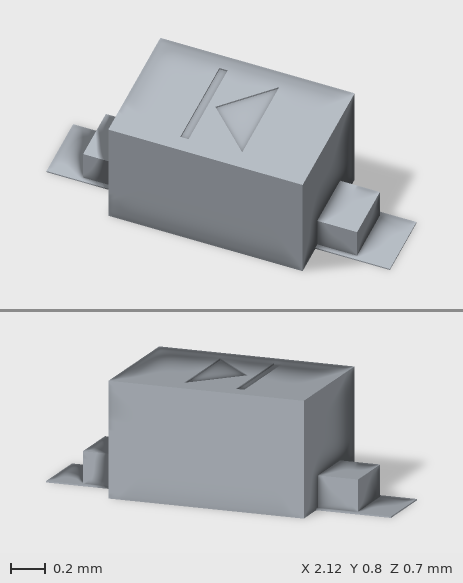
import cadquery as cq

body_length = 1.2
body_width = 0.8
body_height = 0.7

terminal_span = 1.692
terminal_width = 0.35
terminal_top = 0.2
pad_span = 2.12
pad_width = 0.41
pad_thickness = 0.008

mark_depth = 0.01
bar_center_x = -0.17
bar_width = 0.05
bar_length = 0.6
triangle_tip_x = -0.1
triangle_base_x = 0.18
triangle_half_width = 0.285


def block(length, width, height):
    """Box centred in X and Y, standing on the Z = 0 plane."""
    return cq.Workplane("XY").box(length, width, height, centered=(True, True, False))


def diode_symbol():
    """Cathode bar and arrow, as a cutter reaching down from the top face."""
    top = cq.Workplane("XY").workplane(offset=body_height)
    bar = top.center(bar_center_x, 0).rect(bar_width, bar_length).extrude(-mark_depth)
    arrow = (
        top
        .moveTo(triangle_tip_x, 0)
        .lineTo(triangle_base_x, -triangle_half_width)
        .lineTo(triangle_base_x, triangle_half_width)
        .close()
        .extrude(-mark_depth)
    )
    return bar.add(arrow).combine()


body = block(body_length, body_width, body_height)
terminals = block(terminal_span, terminal_width, terminal_top)
pads = block(pad_span, pad_width, pad_thickness)

result = body.union(terminals).union(pads).cut(diode_symbol())